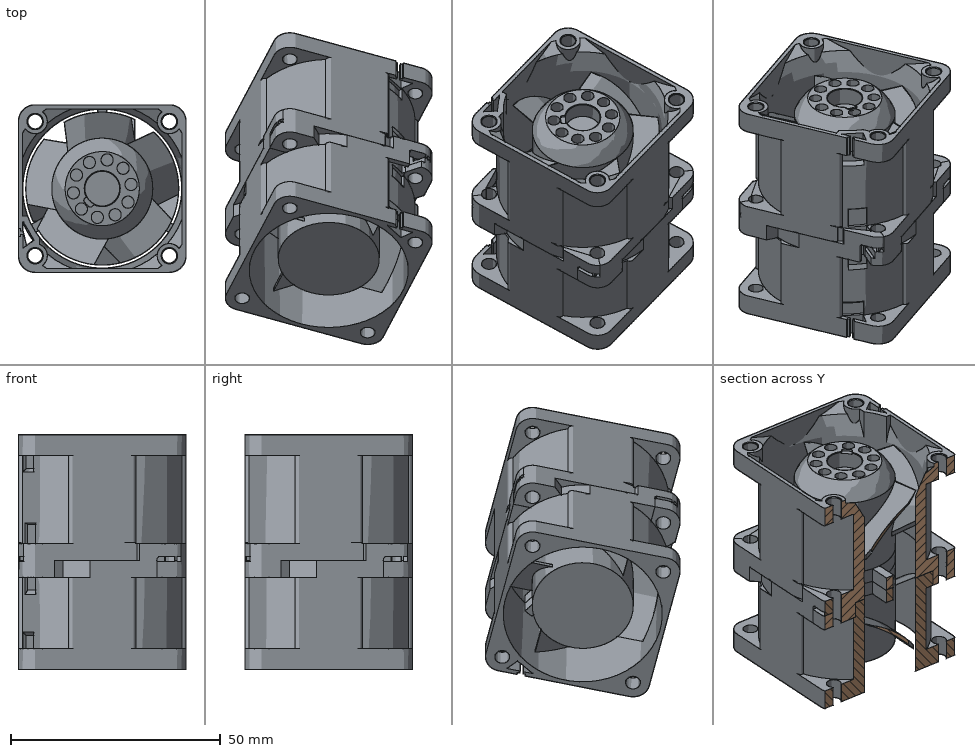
import cadquery as cq
import math

SIDE = 40.0
HALF = SIDE / 2
HEIGHT = 56.0
CORNER_R = 4.0
HOLE_POS = HALF - CORNER_R
HOLE_R = 1.75
HOLE_CHAMFER = 0.2

END_FLANGE = 5.0
SEAM_Z = 26.0
HALF_FLANGE = 4.0
MID_BOTTOM = SEAM_Z - HALF_FLANGE
MID_TOP = SEAM_Z + HALF_FLANGE
TOP_FLANGE_Z = HEIGHT - END_FLANGE

BORE_R = 18.95
BARREL_R = 20.6
FLAT_HALF = 7.0

FUNNEL = [(0.0, 23.2), (1.85, 20.35), (4.7, 19.5), (7.1, BORE_R)]
POCKET_HALF = 19.0
BOSS_R = 2.9

LUG_R = 20.2
LUG_EDGE = 13.04
LUG_END = 11.4
CLEARANCE_EDGE = 2.9
FINGER_EDGE = 8.94
FINGER_ROOT = (8.3, -19.3)
FINGER_NEAR_HOLE = (14.9, -17.7)
RELIEF_EDGE = 5.4
RELIEF_TOP = MID_TOP + 0.3
GAP_BOTTOM = SEAM_Z - 0.2
GAP_TOP = SEAM_Z + 0.9
GAP_CHAMFER = 0.4
TOOTH_START = 17.3
TOOTH_WIDTH = 0.5

CABLE_WALL = 18.9
CABLE_TRIANGLE = [(-CABLE_WALL, -7.8), (-CABLE_WALL, -14.2), (-16.3, -12.2)]
GUARD_X = -15.0
GUARD_Y = -6.5
VOID_STEP_Z = SEAM_Z - 2.0
VOID_OFFSET_UPPER = 2.95
VOID_OFFSET_LOWER = 4.0
VOID_INNER_X = -14.0
SLOT_Y = -10.5
SLOT_MOUTH = 1.9
SLOT_MOUTH_DEPTH = 0.5
SLOT_THROAT = 0.8

FLANGE_RECESS = (210.2, 5.1, 19.65)
SEAM_RECESS = (213.2, 4.5, 19.9)
FLANGE_RECESS_HEIGHT = 4.0
FLANGE_RECESS_SLOPE = 0.9
SEAM_RECESS_UP = 5.0
SEAM_RECESS_UP_SLOPE = 0.4
SEAM_RECESS_DOWN = 4.2
SEAM_RECESS_DOWN_SLOPE = 1.2
RECESS_OVERCUT = 0.1

STRUT_COUNT = 3
STRUT_FIRST = 90.0
STRUT_WIDTH = 2.2
MOUNT_HEIGHT = 3.5

HUB_R = 12.05
HUB_TOP = 53.5
DOME_HEIGHT = 4.5
DOME_MID = (11.0, 51.1)
HUB_FACE_R = 9.45
HUB_RIM_R = 0.6
BLADE_TIP_R = 18.25
BLADE_DROP = 1.05
BLADE_ROOT = 8.0

UPPER_BLADES = 5
UPPER_BLADE_FIRST = 90.0
UPPER_BLADE_CURVE = [(9.6, 49.6), (1.0, 45.2), (-8.3, 36.0)]
UPPER_BLADE_PLAN = [(BLADE_ROOT, 8.1), (HALF, 9.6), (HALF, -6.45), (BLADE_ROOT, -8.25)]
LOWER_BLADES = 4
LOWER_BLADE_FIRST = 0.0
LOWER_BLADE_HALF = 7.8
LOWER_BLADE_CURVE = [(-LOWER_BLADE_HALF, 19.0), (-0.5, 15.0), (LOWER_BLADE_HALF, 7.0)]
LOWER_BLADE_PLAN = [
    (BLADE_ROOT, LOWER_BLADE_HALF), (HALF, LOWER_BLADE_HALF),
    (HALF, -LOWER_BLADE_HALF), (BLADE_ROOT, -LOWER_BLADE_HALF)]

EYE_R = 4.15
EYE_DEPTH = 4.3
EYE_CHAMFER = 0.15
EYE_NOTCH_REACH = 5.3
EYE_NOTCH_LENGTH = 1.9
EYE_NOTCH_WIDTH = 2.6
EYE_NOTCH_DEPTH = 0.5
EYE_NOTCH_ROUND = 0.6
EYE_NOTCH_ANGLE = 225.0
PORT_COUNT = 10
PORT_R = 1.45
PORT_CIRCLE_R = 6.95
PORT_DEPTH = 5.0
PORT_FIRST = 8.3
LOWER_HUB_BOTTOM = 4.0


def prism(points, z0, z1):
    return cq.Workplane("XY").workplane(offset=z0).polyline(points).close().extrude(z1 - z0)


def disc(radius, z0, z1):
    return cq.Workplane("XY").workplane(offset=z0).circle(radius).extrude(z1 - z0)


def turned(shape, angle):
    return shape.rotate((0, 0, 0), (0, 0, 1), angle)


def at_four_corners(shape):
    """Union of a shape and its quarter-turn copies about the fan axis."""
    group = shape
    for quarter in range(1, 4):
        group = group.union(turned(shape, 90 * quarter))
    return group


def corner_cylinders(radius, z0, z1):
    return at_four_corners(disc(radius, z0, z1).translate((HOLE_POS, HOLE_POS, 0)))


def plate(z0, z1):
    square = cq.Workplane("XY").workplane(offset=z0).rect(SIDE, SIDE).extrude(z1 - z0)
    return square.edges("|Z").fillet(CORNER_R)


def barrel(z0, z1):
    """Barrel with four flat pads, each dropping to the round corners by rounded shoulders."""
    total = HALF + FLAT_HALF
    spread = math.sqrt(2 * BARREL_R ** 2 - total ** 2)
    far = (total + spread) / 2
    near = (total - spread) / 2
    round_offset = (HALF - far) * math.sqrt(0.5)
    shoulder_far = far + round_offset
    shoulder_near = FLAT_HALF + round_offset
    diagonal = BARREL_R * math.sqrt(0.5)
    outline = cq.Workplane("XY").workplane(offset=z0).moveTo(HALF, -FLAT_HALF)
    for cos, sin in ((1, 0), (0, 1), (-1, 0), (0, -1)):
        def spin(x, y):
            return (x * cos - y * sin, x * sin + y * cos)
        outline = outline.lineTo(*spin(HALF, FLAT_HALF))
        outline = outline.threePointArc(spin(shoulder_far, shoulder_near), spin(far, near))
        outline = outline.threePointArc(spin(diagonal, diagonal), spin(near, far))
        outline = outline.threePointArc(spin(shoulder_near, shoulder_far), spin(FLAT_HALF, HALF))
    return outline.close().extrude(z1 - z0)


def countersink(radius, chamfer, z_top):
    cone = cq.Workplane("XY").workplane(offset=z_top - chamfer).circle(radius)
    return cone.workplane(offset=chamfer).circle(radius + chamfer).loft()


def finger_plan(z0, z1):
    outline = [(FINGER_EDGE, -HALF), FINGER_ROOT, FINGER_NEAR_HOLE, (HOLE_POS, -HOLE_POS), (HALF, -HALF)]
    return prism(outline, z0, z1)


def finger_gap():
    """Gap below the finger tip, interrupted by the snap tooth."""
    beyond_edge = cq.Workplane("XY").box(HALF, SIDE, GAP_TOP, centered=False)
    beyond_edge = beyond_edge.edges("<X and >Z").chamfer(GAP_CHAMFER)
    beyond_edge = beyond_edge.translate((LUG_EDGE, -SIDE, 0))
    tooth = cq.Workplane("XY").box(TOOTH_WIDTH, SIDE, HEIGHT, centered=False)
    tooth = tooth.translate((TOOTH_START, -SIDE, 0))
    return finger_plan(GAP_BOTTOM, GAP_TOP).intersect(beyond_edge).cut(tooth)


def fingers():
    finger = finger_plan(SEAM_Z, MID_TOP).intersect(plate(SEAM_Z, MID_TOP))
    return at_four_corners(finger.cut(finger_gap()))


def reliefs():
    outline = [(RELIEF_EDGE, -HALF), FINGER_ROOT, (FINGER_EDGE, -HALF)]
    return at_four_corners(prism(outline, SEAM_Z, RELIEF_TOP))


def lug_clearances():
    zone = prism(
        [(LUG_EDGE, -SIDE), (SIDE, -SIDE), (SIDE, -CLEARANCE_EDGE), (LUG_EDGE, -CLEARANCE_EDGE)],
        MID_BOTTOM, SEAM_Z)
    return at_four_corners(zone.cut(disc(LUG_R, MID_BOTTOM, SEAM_Z)))


def lugs():
    end_sum = HALF - LUG_END
    zone = prism(
        [(LUG_EDGE, -SIDE), (SIDE, -SIDE), (SIDE, end_sum - SIDE), (LUG_EDGE, end_sum - LUG_EDGE)],
        MID_BOTTOM, SEAM_Z)
    lug = zone.cut(disc(LUG_R, MID_BOTTOM, SEAM_Z)).intersect(plate(MID_BOTTOM, SEAM_Z))
    return at_four_corners(lug)


def cable_void(wall_x, offset, z0, z1):
    """Space outside the barrel, up to a 45 degree face on the line y = x + offset."""
    outline = [(-wall_x, -FLAT_HALF), (-wall_x, offset - wall_x),
               (VOID_INNER_X, offset + VOID_INNER_X), (VOID_INNER_X, -FLAT_HALF)]
    return prism(outline, z0, z1).cut(disc(BARREL_R, z0, z1))


def cable_flange_cut(z0, z1):
    """Triangular cable hole and the stepped slot that opens it to the -X side."""
    depth = HALF - CABLE_WALL
    slot = cq.Workplane("XY").box(depth, SLOT_THROAT, z1 - z0, centered=(False, True, False))
    mouth = cq.Workplane("XY").box(SLOT_MOUTH_DEPTH, SLOT_MOUTH, z1 - z0, centered=(False, True, False))
    slot = slot.union(mouth).translate((-HALF, SLOT_Y, z0))
    return prism(CABLE_TRIANGLE, z0, z1).union(slot)


def barrel_recess(angle, width, floor_r, z_open, height, slope):
    """Recess in the barrel running up (or down, for a negative height) from z_open.

    Its closed end slopes: the floor stops short of the full height by the slope.
    """
    z_end = z_open + height
    z_floor_end = z_end - math.copysign(slope, height)
    outer_r = BARREL_R + RECESS_OVERCUT
    profile = [(floor_r, z_open), (floor_r, z_floor_end), (outer_r, z_end), (outer_r, z_open)]
    ring = cq.Workplane("XZ").polyline(profile).close().revolve(360, (0, 0, 0), (0, 1, 0))
    sector = cq.Workplane("XY").box(SIDE, width, HEIGHT, centered=(False, True, False))
    return ring.intersect(turned(sector, angle))


def inlet_pocket():
    profile = [(0, HEIGHT - FUNNEL[-1][0])]
    profile += [(radius, HEIGHT - depth) for depth, radius in reversed(FUNNEL)]
    profile.append((0, HEIGHT))
    funnel = cq.Workplane("XZ").polyline(profile).close().revolve(360, (0, 0, 0), (0, 1, 0))
    square = cq.Workplane("XY").rect(2 * POCKET_HALF, 2 * POCKET_HALF).extrude(HEIGHT)
    guard = prism(
        [(-HALF, GUARD_Y), (GUARD_X, GUARD_Y), (GUARD_X, -HOLE_POS), (-HALF, -HOLE_POS)], 0, HEIGHT)
    return funnel.intersect(square).cut(corner_cylinders(BOSS_R, 0, HEIGHT)).cut(guard)


def motor_mount(z0):
    mount = disc(HUB_R, z0, z0 + MOUNT_HEIGHT)
    strut_length = (BORE_R + BARREL_R) / 2 - HUB_R / 2
    for index in range(STRUT_COUNT):
        strut = cq.Workplane("XY").box(strut_length, STRUT_WIDTH, MOUNT_HEIGHT, centered=(False, True, False))
        strut = strut.translate((HUB_R / 2, 0, z0))
        mount = mount.union(turned(strut, STRUT_FIRST + index * 360 / STRUT_COUNT))
    return mount


def make_upper_housing():
    finger_space = at_four_corners(finger_plan(SEAM_Z, MID_TOP))
    body = plate(SEAM_Z, MID_TOP).union(barrel(SEAM_Z, HEIGHT)).cut(finger_space).union(lugs())
    body = body.cut(reliefs()).cut(at_four_corners(finger_gap()))
    body = body.union(plate(TOP_FLANGE_Z, HEIGHT))
    body = body.cut(disc(BORE_R, 0, HEIGHT)).cut(inlet_pocket())
    body = body.cut(corner_cylinders(HOLE_R, 0, HEIGHT))
    rim = countersink(HOLE_R, HOLE_CHAMFER, HEIGHT)
    body = body.cut(at_four_corners(rim.translate((HOLE_POS, HOLE_POS, 0))))
    body = body.cut(cable_flange_cut(TOP_FLANGE_Z, HEIGHT))
    body = body.cut(cable_void(HALF, VOID_OFFSET_UPPER, VOID_STEP_Z, MID_TOP))
    body = body.cut(cable_void(HALF, VOID_OFFSET_LOWER, MID_BOTTOM, VOID_STEP_Z))
    body = body.cut(barrel_recess(*FLANGE_RECESS, TOP_FLANGE_Z, -FLANGE_RECESS_HEIGHT, FLANGE_RECESS_SLOPE))
    body = body.cut(barrel_recess(*SEAM_RECESS, MID_TOP, SEAM_RECESS_UP, SEAM_RECESS_UP_SLOPE))
    return body.union(motor_mount(SEAM_Z))


def make_lower_housing():
    body = plate(MID_BOTTOM, SEAM_Z).union(barrel(0, SEAM_Z)).cut(lug_clearances())
    body = body.union(fingers()).union(plate(0, END_FLANGE))
    body = body.cut(disc(BORE_R, 0, HEIGHT))
    body = body.cut(corner_cylinders(HOLE_R, 0, HEIGHT))
    body = body.cut(cable_flange_cut(0, END_FLANGE))
    body = body.cut(cable_void(CABLE_WALL, VOID_OFFSET_LOWER, MID_BOTTOM, SEAM_Z))
    body = body.cut(barrel_recess(*FLANGE_RECESS, END_FLANGE, FLANGE_RECESS_HEIGHT, FLANGE_RECESS_SLOPE))
    body = body.cut(barrel_recess(*SEAM_RECESS, MID_BOTTOM, -SEAM_RECESS_DOWN, SEAM_RECESS_DOWN_SLOPE))
    return body.union(motor_mount(SEAM_Z - MOUNT_HEIGHT))


def blades(count, first_angle, curve, plan):
    """Curved sheets along the radius; one solid per blade."""
    start, middle, end = curve
    sheet = cq.Workplane("YZ").moveTo(*start).threePointArc(middle, end).lineTo(end[0], end[1] - BLADE_DROP)
    sheet = sheet.threePointArc((middle[0], middle[1] - BLADE_DROP), start).close()
    sheet = sheet.extrude(HALF)
    blade = sheet.intersect(prism(plan, 0, HEIGHT)).intersect(disc(BLADE_TIP_R, 0, HEIGHT))
    return [turned(blade, first_angle + index * 360 / count) for index in range(count)]


def make_upper_impeller():
    hub_bottom = SEAM_Z + MOUNT_HEIGHT
    shoulder = HUB_TOP - DOME_HEIGHT
    rim_base = HUB_TOP - HUB_RIM_R
    hub = (
        cq.Workplane("XZ").moveTo(0, hub_bottom).lineTo(HUB_R, hub_bottom).lineTo(HUB_R, shoulder)
        .threePointArc(DOME_MID, (HUB_FACE_R, rim_base))
        .lineTo(HUB_FACE_R - HUB_RIM_R, HUB_TOP).lineTo(0, HUB_TOP).close()
        .revolve(360, (0, 0, 0), (0, 1, 0)))
    for blade in blades(UPPER_BLADES, UPPER_BLADE_FIRST, UPPER_BLADE_CURVE, UPPER_BLADE_PLAN):
        hub = hub.union(blade)
    hub = hub.cut(disc(EYE_R, HUB_TOP - EYE_DEPTH, HUB_TOP))
    hub = hub.cut(countersink(EYE_R, EYE_CHAMFER, HUB_TOP))
    notch = cq.Workplane("XY").box(
        EYE_NOTCH_LENGTH, EYE_NOTCH_WIDTH, EYE_NOTCH_DEPTH, centered=(False, True, False))
    notch = notch.edges("|Z and >X").fillet(EYE_NOTCH_ROUND)
    notch = notch.translate((EYE_NOTCH_REACH - EYE_NOTCH_LENGTH, 0, HUB_TOP - EYE_NOTCH_DEPTH))
    hub = hub.cut(turned(notch, EYE_NOTCH_ANGLE))
    ports = (
        cq.Workplane("XY").workplane(offset=HUB_TOP - PORT_DEPTH)
        .polarArray(PORT_CIRCLE_R, PORT_FIRST, 360, PORT_COUNT).circle(PORT_R).extrude(PORT_DEPTH))
    return hub.cut(ports)


def make_lower_impeller():
    hub = disc(HUB_R, LOWER_HUB_BOTTOM, SEAM_Z - MOUNT_HEIGHT)
    for blade in blades(LOWER_BLADES, LOWER_BLADE_FIRST, LOWER_BLADE_CURVE, LOWER_BLADE_PLAN):
        hub = hub.union(blade)
    return hub


upper_housing = make_upper_housing()
lower_housing = make_lower_housing()
upper_impeller = make_upper_impeller()
lower_impeller = make_lower_impeller()
result = cq.Compound.makeCompound(
    [upper_housing.val(), lower_housing.val(), upper_impeller.val(), lower_impeller.val()])